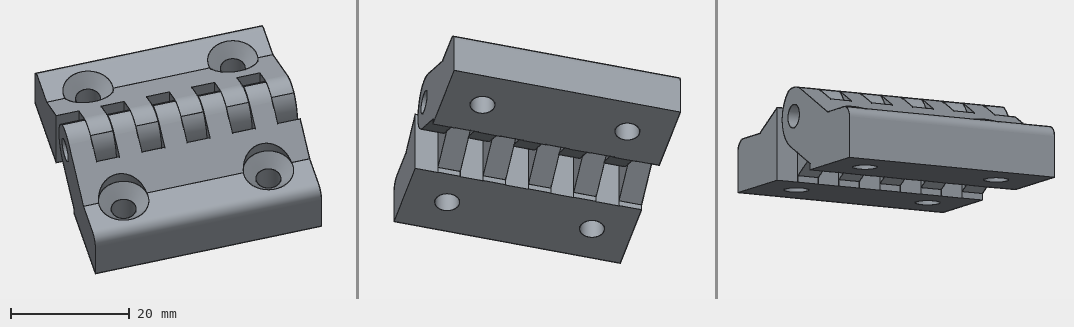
import cadquery as cq
import math

length = 39.5
half_width = 19.4
pivot_height = 10.07
plate_height = 8.95
edge_radius = 1.98

arm_angle = math.radians(30)
arm_half_thickness = 4.95
nose_radius = 5.9
foot_x = 5.65

knuckle_count = 5
knuckle_clearance = 0.05
gap_wall_x = 5.73
pin_hole_diameter = 4.0

screw_x = 12.4
screw_spacing = 25.28
screw_shift = 0.28
screw_diameter = 4.2
sink_diameter = 8.5
sink_angle = math.radians(90)

knuckle_pitch = length / knuckle_count
knuckle_gap = knuckle_pitch / 2 + knuckle_clearance
slope = math.tan(arm_angle)
arm_rise = arm_half_thickness / math.cos(arm_angle)
slope_end_x = (pivot_height + arm_rise - plate_height) / slope
foot_height = pivot_height - arm_rise - foot_x * slope
nose_offset = (nose_radius - arm_half_thickness) / math.sin(arm_angle)


def polar(center_x, radius, angle):
    """Point on a circle whose centre lies at pivot height."""
    return (center_x + radius * math.cos(angle), pivot_height + radius * math.sin(angle))


def leaf_profile():
    """Section of the left leaf: plate, sloped arm and a nose of two arcs around the pivot."""
    crown_start = math.pi / 2 + arm_angle
    crown_end_x = (arm_half_thickness**2 - nose_radius**2 + nose_offset**2) / (-2 * nose_offset)
    crown_end = math.acos(crown_end_x / arm_half_thickness)
    crown_middle = (crown_start + crown_end) / 2
    nose_end = arm_angle - math.pi / 2
    return (
        cq.Workplane("XZ", origin=(0, length / 2, 0))
        .moveTo(-half_width, 0)
        .lineTo(-half_width, plate_height - edge_radius)
        .radiusArc((-half_width + edge_radius, plate_height), edge_radius)
        .lineTo(-slope_end_x, plate_height)
        .lineTo(*polar(0, arm_half_thickness, crown_start))
        .threePointArc(
            polar(0, arm_half_thickness, crown_middle),
            polar(0, arm_half_thickness, crown_end),
        )
        .threePointArc(
            polar(-nose_offset, nose_radius, 0),
            polar(-nose_offset, nose_radius, nose_end),
        )
        .lineTo(-foot_x, foot_height)
        .lineTo(-foot_x, 0)
        .close()
    )


def cut_knuckle_gaps(leaf):
    """Open the gaps that receive the other leaf's knuckles, the first one at the -Y end."""
    gap_reach = gap_wall_x + half_width
    gap_height = 2 * pivot_height
    gap = cq.Workplane("XY").box(gap_reach, knuckle_gap, gap_height, centered=False)
    for index in range(knuckle_count):
        gap_start = index * knuckle_pitch - length / 2 - knuckle_clearance
        leaf = leaf.cut(gap.translate((-gap_wall_x, gap_start, 0)))
    return leaf


def screw_hole():
    """Through hole, conical seat ending at the plate top, and clearance up through the slope."""
    screw_radius = screw_diameter / 2
    sink_radius = sink_diameter / 2
    sink_depth = (sink_radius - screw_radius) / math.tan(sink_angle / 2)
    clearance_top = pivot_height + arm_half_thickness
    return (
        cq.Workplane("XZ")
        .moveTo(0, 0)
        .lineTo(screw_radius, 0)
        .lineTo(screw_radius, plate_height - sink_depth)
        .lineTo(sink_radius, plate_height)
        .lineTo(sink_radius, clearance_top)
        .lineTo(0, clearance_top)
        .close()
        .revolve(360, (0, 0, 0), (0, 1, 0))
    )


def hinge_leaf():
    """Left leaf with its knuckles, pin hole and two screw holes."""
    leaf = cut_knuckle_gaps(leaf_profile().extrude(length))
    pin_hole = (
        cq.Workplane("XZ", origin=(0, length / 2, pivot_height))
        .circle(pin_hole_diameter / 2)
        .extrude(length)
    )
    leaf = leaf.cut(pin_hole)
    for side in (-1, 1):
        screw_y = screw_shift + side * screw_spacing / 2
        leaf = leaf.cut(screw_hole().translate((-screw_x, screw_y, 0)))
    return leaf


leaves = []
for turn in (0, 180):
    leaves.append(hinge_leaf().rotate((0, 0, 0), (0, 0, 1), turn))

result = cq.Compound.makeCompound([leaf.val() for leaf in leaves])